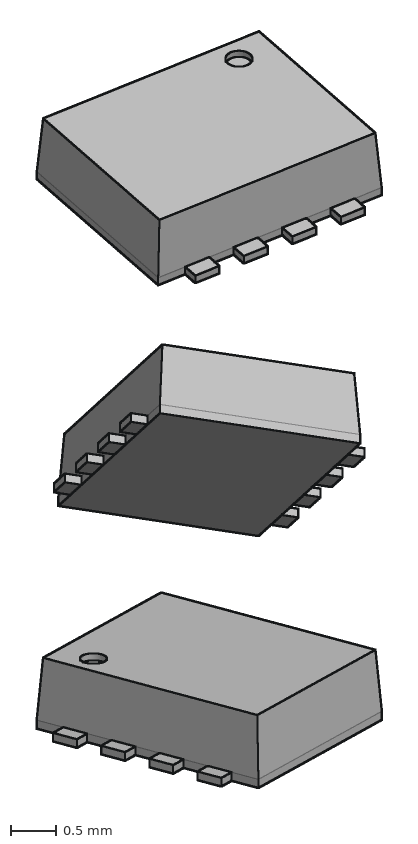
import cadquery as cq

body_width = 2.4
body_length = 3.0
total_height = 0.85
base_height = 0.105
top_inset = 0.05
cap_height = total_height - base_height

mark_diameter = 0.3
mark_depth = 0.085
mark_x = -0.85
mark_y = 0.975

overall_width = 2.8
lead_length = (overall_width - body_width) / 2
lead_width = 0.325
lead_thickness = base_height
lead_pitch = 0.65
leads_per_side = 4


def make_housing():
    """Moulded body with a straight base, tapered walls and a pin-one mark."""
    base = cq.Workplane("XY").rect(body_width, body_length).extrude(base_height)
    cap = (
        cq.Workplane("XY", origin=(0, 0, base_height))
        .rect(body_width, body_length)
        .workplane(offset=cap_height)
        .rect(body_width - 2 * top_inset, body_length - 2 * top_inset)
        .loft(ruled=True)
    )
    mark = (
        cq.Workplane("XY", origin=(mark_x, mark_y, total_height - mark_depth))
        .circle(mark_diameter / 2)
        .extrude(mark_depth)
    )
    return base.union(cap).cut(mark)


def make_lead(side, y):
    """Flat lead butting against the base; side is -1 for -X and 1 for +X."""
    center_x = side * (body_width + lead_length) / 2
    return cq.Workplane("XY", origin=(center_x, y, 0)).box(
        lead_length, lead_width, lead_thickness, centered=(True, True, False)
    )


housing = make_housing()

leads = []
for side in (-1, 1):
    for index in range(leads_per_side):
        lead_y = (index - (leads_per_side - 1) / 2) * lead_pitch
        leads.append(make_lead(side, lead_y).val())

result = cq.Compound.makeCompound([housing.val(), *leads])